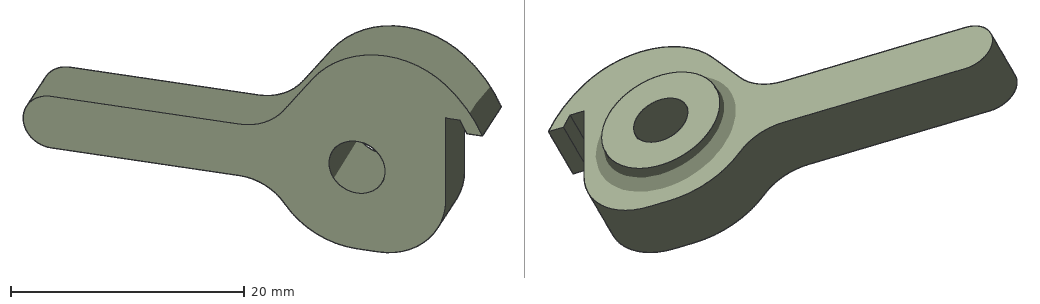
import cadquery as cq
import math

plate_thickness = 5.52
pivot_hole_radius = 2.5
boss_radius = 5.5
boss_height = 1.98
boss_fillet = 1.5

handle_end_x = -29.95
handle_half_width = 2.5
neck_fillet = 5.0

lower_radius = 7.95
corner_radius = 6.0

lobe_radius = 8.25
lobe_center_x = 2.6
head_top_z = 11.25
lobe_center_z = head_top_z - lobe_radius

tip_x = 11.25
tip_z = 4.82
notch_z = 6.05
notch_end_x = 9.25
hook_inner_x = 9.85


def on_circle(center, radius, angle):
    return (center[0] + radius * math.cos(angle), center[1] + radius * math.sin(angle))


neck_offset_z = handle_half_width + neck_fillet
neck_x = -math.sqrt((lower_radius + neck_fillet) ** 2 - neck_offset_z ** 2)
upper_neck = (neck_x, neck_offset_z)
lower_neck_angle = math.atan2(-neck_offset_z, neck_x)
lower_join = on_circle((0, 0), lower_radius, lower_neck_angle)

lobe_center = (lobe_center_x, lobe_center_z)
span_x = lobe_center_x - neck_x
span_z = lobe_center_z - neck_offset_z
center_line_angle = math.atan2(span_z, span_x)
flank_angle = center_line_angle + math.asin((neck_fillet + lobe_radius) / math.hypot(span_x, span_z))
flank_start = on_circle(upper_neck, neck_fillet, flank_angle - math.pi / 2)
flank_end = on_circle(lobe_center, lobe_radius, flank_angle + math.pi / 2)

right_x = lower_radius
hook_start = (right_x, lobe_center_z + math.sqrt(lobe_radius ** 2 - (right_x - lobe_center_x) ** 2))

handle_center_x = handle_end_x + handle_half_width
corner_center = (right_x - corner_radius, corner_radius - lower_radius)


def make_plate():
    return (
        cq.Workplane("XZ")
        .moveTo(handle_center_x, handle_half_width)
        .lineTo(neck_x, handle_half_width)
        .tangentArcPoint(flank_start, relative=False)
        .lineTo(*flank_end)
        .threePointArc((lobe_center_x, head_top_z), hook_start)
        .tangentArcPoint((tip_x, tip_z), relative=False)
        .lineTo(hook_inner_x, tip_z)
        .lineTo(notch_end_x, notch_z)
        .lineTo(right_x, notch_z)
        .lineTo(right_x, corner_center[1])
        .tangentArcPoint((corner_center[0], -lower_radius), relative=False)
        .lineTo(0, -lower_radius)
        .tangentArcPoint(lower_join, relative=False)
        .tangentArcPoint((neck_x, -handle_half_width), relative=False)
        .lineTo(handle_center_x, -handle_half_width)
        .threePointArc((handle_end_x, 0), (handle_center_x, handle_half_width))
        .close()
        .extrude(-plate_thickness)
    )


def make_boss():
    boss_end = plate_thickness + boss_height
    return (
        cq.Workplane("XY")
        .moveTo(0, plate_thickness)
        .lineTo(boss_radius + boss_fillet, plate_thickness)
        .radiusArc((boss_radius, plate_thickness + boss_fillet), boss_fillet)
        .lineTo(boss_radius, boss_end)
        .lineTo(0, boss_end)
        .close()
        .revolve(360, (0, 0), (0, 1))
    )


def make_pivot_hole():
    return cq.Workplane("XZ").circle(pivot_hole_radius).extrude(-(plate_thickness + boss_height))


result = make_plate().union(make_boss()).cut(make_pivot_hole())